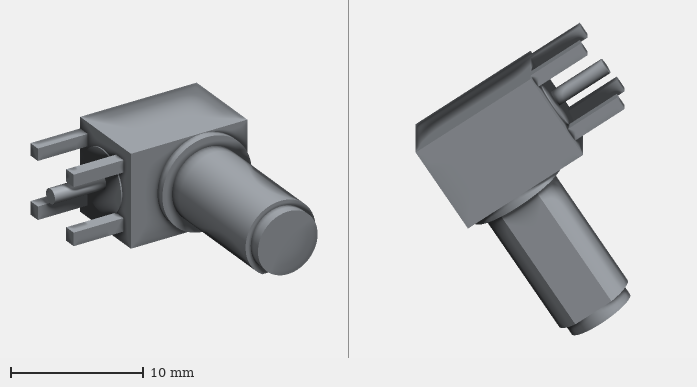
import cadquery as cq

total_length = 19.25

body_length = 7.16
body_height = 8.1
body_depth = 10.43
body_top = body_height / 2
body_bottom = body_top - body_depth

flange_radius = 4.0
flange_end = 7.85
barrel_radius = 3.14
barrel_end = 18.23
tip_radius = 2.68
flat_z = -tip_radius

pin_x = 3.21
insulator_radius = 2.73
insulator_height = 0.12
pin_radius = 0.64
pin_length = 4.7

leg_length = 4.47
leg_width = 1.05
leg_lefts = (0.0, 5.06)
upper_leg_bottom = 2.0
upper_leg_height = 1.05
lower_leg_bottom = -3.05
lower_leg_height = 1.15


def block(x_start, x_end, y_start, y_end, z_start, z_end):
    """Box spanning the given limits."""
    size = (x_end - x_start, y_end - y_start, z_end - z_start)
    return cq.Workplane("XY").box(*size, centered=False).translate((x_start, y_start, z_start))


def barrel_step(radius, x_start, x_end):
    """Cylinder along the barrel axis."""
    return cq.Workplane("YZ").workplane(offset=x_start).circle(radius).extrude(x_end - x_start)


def bottom_cylinder(radius, height):
    """Cylinder standing out from the -Y face on the pin axis."""
    return (
        cq.Workplane("XZ", origin=(0, body_bottom, 0))
        .center(pin_x, 0)
        .circle(radius)
        .extrude(height)
    )


def mounting_leg(left, bottom, height):
    """Rectangular leg standing out from the -Y face."""
    return block(left, left + leg_width, body_bottom - leg_length, body_bottom, bottom, bottom + height)


barrel = barrel_step(barrel_radius, flange_end, barrel_end)
barrel = barrel.cut(
    block(flange_end, barrel_end, -barrel_radius, barrel_radius, -flange_radius, flat_z)
)

result = block(0, body_length, body_bottom, body_top, -body_height / 2, body_height / 2)
result = result.union(barrel_step(flange_radius, body_length, flange_end))
result = result.union(barrel)
result = result.union(barrel_step(tip_radius, barrel_end, total_length))
result = result.union(bottom_cylinder(insulator_radius, insulator_height))
result = result.union(bottom_cylinder(pin_radius, pin_length))

for leg_left in leg_lefts:
    result = result.union(mounting_leg(leg_left, upper_leg_bottom, upper_leg_height))
    result = result.union(mounting_leg(leg_left, lower_leg_bottom, lower_leg_height))